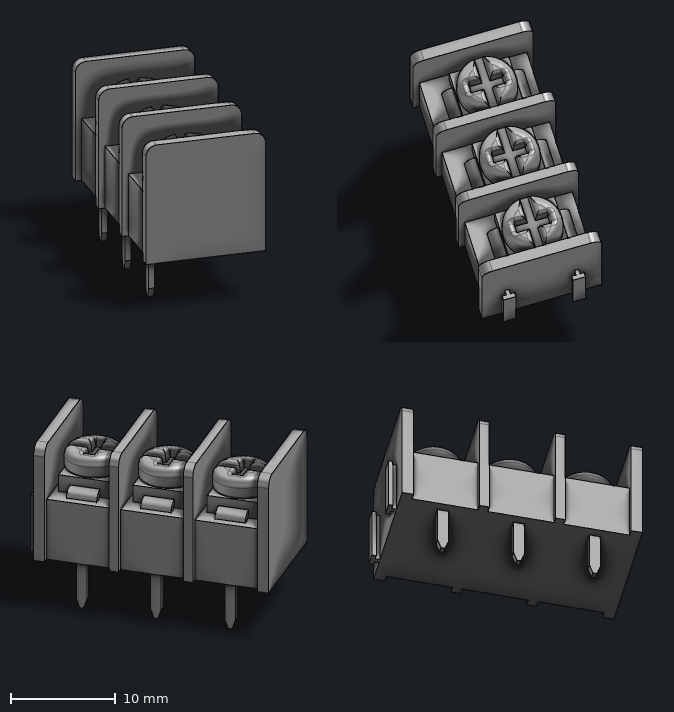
import cadquery as cq
import math


OVERALL_LENGTH = 24.55
POLES = 3
PITCH = 7.45
BLOCK_DEPTH = 10.75
BLOCK_HEIGHT = 6.38
WALL_DEPTH = 12.0
WALL_HEIGHT = 12.22
WALL_CORNER_RADIUS = 1.08
DIVIDER_THICKNESS = 0.95
END_WALL_THICKNESS = 1.13
HOUSING_LENGTH = 23.63

RAIL_HEIGHT = 5.96
RAIL_OFFSET_Y = 3.48
RAIL_REACH = OVERALL_LENGTH - HOUSING_LENGTH
RAIL_FLANGE_THICKNESS = 0.45
RAIL_FLANGE_WIDTH = 1.25
RAIL_STEM_WIDTH = 0.42

TERMINAL_Y = -0.42
STRIP_WIDTH = 3.05
STRIP_THICKNESS = 0.61
STRIP_RISE = 0.88
STRIP_HALF_SPAN = 4.12
BEND_RADIUS = 1.08

PIN_WIDTH = 1.08
PIN_LENGTH = 5.08
PIN_TIP_WIDTH = 0.4
PIN_TIP_LENGTH = 0.98

WASHER_WIDTH = 5.33
WASHER_DEPTH = 5.96
WASHER_TOP = 8.17
HEAD_DIAMETER = 5.85
HEAD_TOP = 10.43
HEAD_DOME_RADIUS = 1.08
HEAD_RIM_RADIUS = 0.22

SLOT_FLOOR_WIDTH = 0.79
SLOT_MOUTH_WIDTH = 1.03
SLOT_DEPTH = 1.08
SHORT_SLOT_LENGTH = 3.3
SLOT_EDGE_RADIUS = 0.4

HOUSING_HALF_LENGTH = HOUSING_LENGTH / 2
STRIP_TOP = BLOCK_HEIGHT + STRIP_RISE
BEND_END = STRIP_TOP - BEND_RADIUS
SLOT_FLOOR = HEAD_TOP - SLOT_DEPTH
SLOT_LIP = HEAD_TOP - SLOT_EDGE_RADIUS
SLOT_DRAFT = (SLOT_MOUTH_WIDTH - SLOT_FLOOR_WIDTH) / 2
POLE_POSITIONS = [(i - (POLES - 1) / 2) * PITCH for i in range(POLES)]


def box(x_range, y_range, z_range):
    """Box between the given limits on each axis."""
    limits = (x_range, y_range, z_range)
    size = [high - low for low, high in limits]
    corner = [low for low, _ in limits]
    return cq.Workplane("XY").box(*size, centered=False).translate(tuple(corner))


def centred_range(centre, width):
    return (centre - width / 2, centre + width / 2)


def make_wall(x_low, thickness):
    """Upright partition with its two upper corners rounded."""
    wall = box((x_low, x_low + thickness), centred_range(0, WALL_DEPTH), (0, WALL_HEIGHT))
    return wall.edges("|X and >Z").fillet(WALL_CORNER_RADIUS)


def make_rail(y):
    """T-section rail standing out from the -X end wall."""
    x_outer = -HOUSING_HALF_LENGTH - RAIL_REACH
    z_range = (0, RAIL_HEIGHT)
    flange = box((x_outer, x_outer + RAIL_FLANGE_THICKNESS), centred_range(y, RAIL_FLANGE_WIDTH), z_range)
    stem = box((x_outer, -HOUSING_HALF_LENGTH), centred_range(y, RAIL_STEM_WIDTH), z_range)
    return flange.union(stem)


def make_housing(terminals):
    """Block, partitions and rails, with recesses that match the terminals."""
    housing = box(centred_range(0, HOUSING_LENGTH), centred_range(0, BLOCK_DEPTH), (0, BLOCK_HEIGHT))
    housing = housing.union(make_wall(-HOUSING_HALF_LENGTH, END_WALL_THICKNESS))
    housing = housing.union(make_wall(HOUSING_HALF_LENGTH - END_WALL_THICKNESS, END_WALL_THICKNESS))
    for left_pole, right_pole in zip(POLE_POSITIONS, POLE_POSITIONS[1:]):
        x_middle = (left_pole + right_pole) / 2
        housing = housing.union(make_wall(x_middle - DIVIDER_THICKNESS / 2, DIVIDER_THICKNESS))
    for y in (RAIL_OFFSET_Y, -RAIL_OFFSET_Y):
        housing = housing.union(make_rail(y))
    for terminal in terminals:
        housing = housing.cut(terminal)
    return housing


def make_arch(half_span, radius):
    """Solid arch across the strip, flat on top and rounded down to its base at both ends."""
    flat_half = half_span - radius
    base = BEND_END
    top = base + radius
    profile = (
        cq.Workplane("YZ")
        .moveTo(-half_span, base)
        .lineTo(half_span, base)
        .radiusArc((flat_half, top), -radius)
        .lineTo(-flat_half, top)
        .radiusArc((-half_span, base), -radius)
        .close()
    )
    return profile.extrude(STRIP_WIDTH / 2, both=True)


def make_strip():
    """Flat strip whose two ends bend down a quarter turn into the block."""
    outer = make_arch(STRIP_HALF_SPAN, BEND_RADIUS)
    inner = make_arch(STRIP_HALF_SPAN - STRIP_THICKNESS, BEND_RADIUS - STRIP_THICKNESS)
    return outer.cut(inner)


def make_pin():
    """Flat solder pin under the front leg, tapered in width at its tip."""
    half_width = PIN_WIDTH / 2
    half_tip = PIN_TIP_WIDTH / 2
    outline = [
        (-half_width, BEND_END),
        (half_width, BEND_END),
        (half_width, PIN_TIP_LENGTH - PIN_LENGTH),
        (half_tip, -PIN_LENGTH),
        (-half_tip, -PIN_LENGTH),
        (-half_width, PIN_TIP_LENGTH - PIN_LENGTH),
    ]
    y_back = STRIP_THICKNESS - STRIP_HALF_SPAN
    return cq.Workplane("XZ", origin=(0, y_back, 0)).polyline(outline).close().extrude(STRIP_THICKNESS)


def make_long_slot():
    """Cutter for the slot along X: drafted walls that flare out in a rounded lip."""
    floor = SLOT_FLOOR_WIDTH / 2
    mouth = SLOT_MOUTH_WIDTH / 2
    edge = mouth + SLOT_EDGE_RADIUS
    arc_middle = SLOT_EDGE_RADIUS * math.cos(math.radians(45))
    bulge = edge - arc_middle
    bulge_z = SLOT_LIP + arc_middle
    profile = (
        cq.Workplane("YZ")
        .moveTo(-floor, SLOT_FLOOR)
        .lineTo(floor, SLOT_FLOOR)
        .lineTo(mouth, SLOT_LIP)
        .threePointArc((bulge, bulge_z), (edge, HEAD_TOP))
        .lineTo(-edge, HEAD_TOP)
        .threePointArc((-bulge, bulge_z), (-mouth, SLOT_LIP))
        .close()
    )
    return profile.extrude(HEAD_DIAMETER / 2, both=True)


def make_short_slot():
    """Cutter for the closed slot along Y, widening upwards with the wall draft."""
    draft_angle = math.degrees(math.atan2(SLOT_DRAFT, SLOT_LIP - SLOT_FLOOR))
    return (
        cq.Workplane("XY", origin=(0, 0, SLOT_FLOOR))
        .rect(SLOT_FLOOR_WIDTH, SHORT_SLOT_LENGTH)
        .extrude(SLOT_DEPTH, taper=-draft_angle)
    )


def make_screw_head():
    """Domed round head with a cross recess, its slot edges rounded."""
    head = (
        cq.Workplane("XY", origin=(0, 0, WASHER_TOP))
        .circle(HEAD_DIAMETER / 2)
        .extrude(HEAD_TOP - WASHER_TOP)
        .faces(">Z").edges().fillet(HEAD_DOME_RADIUS)
        .faces("<Z").edges().fillet(HEAD_RIM_RADIUS)
    )
    head = head.cut(make_short_slot())
    half_width = SLOT_MOUTH_WIDTH
    half_length = (SHORT_SLOT_LENGTH + SLOT_MOUTH_WIDTH) / 2
    slot_mouth = cq.selectors.BoxSelector(
        (-half_width, -half_length, SLOT_LIP),
        (half_width, half_length, HEAD_TOP + SLOT_EDGE_RADIUS),
    )
    head = head.edges(slot_mouth).fillet(SLOT_EDGE_RADIUS)
    return head.cut(make_long_slot())


def make_terminal(x):
    """One-piece terminal of a pole: strip, pin, washer and screw head."""
    washer = box(
        centred_range(0, WASHER_WIDTH),
        centred_range(0, WASHER_DEPTH),
        (BLOCK_HEIGHT, WASHER_TOP),
    )
    terminal = washer.union(make_strip()).union(make_pin()).union(make_screw_head())
    return terminal.translate((x, TERMINAL_Y, 0))


terminals = [make_terminal(x) for x in POLE_POSITIONS]
housing = make_housing(terminals)

result = cq.Compound.makeCompound([housing.val(), *[terminal.val() for terminal in terminals]])